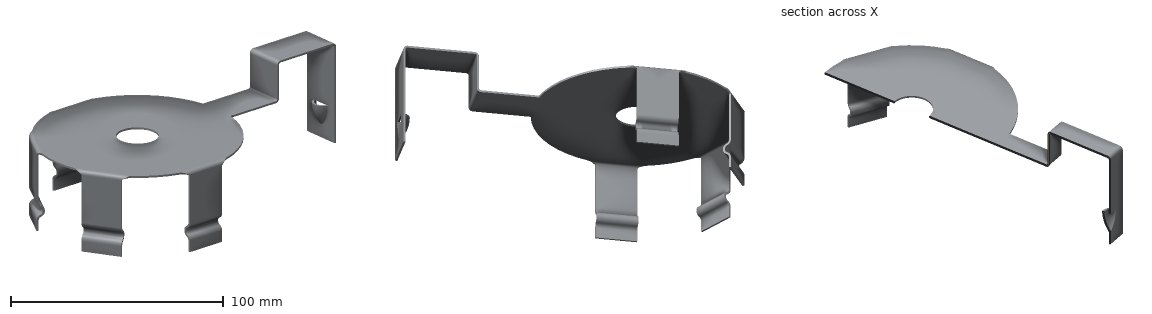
import cadquery as cq
import math

sheet = 1.0
bend_inner = 1.0
bend_outer = bend_inner + sheet

plate_radius = 50.0
hole_diameter = 20.0

leg_angles = (0, 180, 240, 300)
leg_reach = 49.99
leg_width = 20.0
leg_bottom = -41.0
bend_line = leg_reach - bend_outer
bend_line_half = math.sqrt(plate_radius**2 - bend_line**2)
bend_sections = 7

bead_z = -31.0
bead_depth = 3.0
bead_radius = 2.0
bead_blend = 3.0

arm_width = 20.0
arm_end = 114.04
riser_face = 77.84
arm_top = 20.0
flap_bottom = -31.0

dome_top = -13.4
dome_height = 10.6
dome_depth = 3.9
dome_half_width = 5.1
dome_base_fillet = 0.8


def make_plate():
    """Round plate with its centre hole, cut straight along each leg bend line."""
    plate = cq.Workplane("XY").circle(plate_radius).circle(hole_diameter / 2).extrude(-sheet)
    rim = plate_radius - bend_line
    for angle in leg_angles:
        beyond = cq.Workplane("XY").box(2 * rim, 2 * plate_radius, 4 * sheet)
        beyond = beyond.translate((bend_line + rim, 0, 0))
        plate = plate.cut(beyond.rotate((0, 0, 0), (0, 0, 1), angle))
    return plate


def bend_section(turn):
    """Rectangle across the bend after the sheet has turned by the given angle (radians)."""
    half_width = bend_line_half + (leg_width / 2 - bend_line_half) * turn / (math.pi / 2)
    corners = []
    for radius, side in (
        (bend_inner / 2, -1),
        (bend_outer + sheet, -1),
        (bend_outer + sheet, 1),
        (bend_inner / 2, 1),
    ):
        x = bend_line + radius * math.sin(turn)
        z = radius * math.cos(turn) - bend_outer
        corners.append(cq.Vector(x, side * half_width, z))
    return cq.Wire.makePolygon(corners, close=True)


def make_leg_bend():
    """Quarter-round bend that narrows from the plate chord to the leg width."""
    ring = (
        cq.Workplane("XZ", origin=(bend_line, 0, -bend_outer))
        .circle(bend_outer)
        .circle(bend_inner)
        .extrude(bend_line_half, both=True)
    )
    quarter_turn = math.pi / 2
    turns = [quarter_turn * i / (bend_sections - 1) for i in range(bend_sections)]
    taper = cq.Solid.makeLoft([bend_section(turn) for turn in turns])
    return ring.intersect(cq.Workplane(taper))


def bead_path(inset):
    """Points of one leg face through the bead, top to bottom; inset is measured from the outer face."""
    bead = bead_radius + inset
    blend = bead_blend - inset
    spread = bead_radius + bead_blend
    slope = math.acos((spread - bead_depth) / spread)
    face = leg_reach - inset
    start = spread * math.sin(slope)
    join = bead * math.sin(slope)
    join_x = face - blend * (1 - math.cos(slope))
    mid_x = face - blend * (1 - math.cos(slope / 2))
    mid = start - blend * math.sin(slope / 2)
    peak_x = face - bead_depth
    return (
        (face, bead_z + start),
        (mid_x, bead_z + mid),
        (join_x, bead_z + join),
        (peak_x, bead_z),
        (join_x, bead_z - join),
        (mid_x, bead_z - mid),
        (face, bead_z - start),
    )


def make_leg_strip():
    """Straight leg below the bend, with the bead rolled into it."""
    outer = bead_path(0)
    inner = bead_path(sheet)[::-1]
    return (
        cq.Workplane("XZ")
        .moveTo(leg_reach, -bend_outer)
        .lineTo(*outer[0])
        .threePointArc(outer[1], outer[2])
        .threePointArc(outer[3], outer[4])
        .threePointArc(outer[5], outer[6])
        .lineTo(leg_reach, leg_bottom)
        .lineTo(leg_reach - sheet, leg_bottom)
        .lineTo(*inner[0])
        .threePointArc(inner[1], inner[2])
        .threePointArc(inner[3], inner[4])
        .threePointArc(inner[5], inner[6])
        .lineTo(leg_reach - sheet, -bend_outer)
        .close()
        .extrude(leg_width / 2, both=True)
    )


def make_arm():
    """Bent strip from the plate to the hanging flap."""
    root = plate_radius / 2
    points = (
        (root, 0),
        (riser_face, 0),
        (riser_face, arm_top),
        (arm_end, arm_top),
        (arm_end, flap_bottom),
        (arm_end - sheet, flap_bottom),
        (arm_end - sheet, arm_top - sheet),
        (riser_face + sheet, arm_top - sheet),
        (riser_face + sheet, -sheet),
        (root, -sheet),
    )
    strip = cq.Workplane("YZ").polyline(points).close().extrude(arm_width / 2, both=True)
    outer_corners = ((riser_face, arm_top), (arm_end, arm_top), (riser_face + sheet, -sheet))
    inner_corners = (
        (riser_face + sheet, arm_top - sheet),
        (arm_end - sheet, arm_top - sheet),
        (riser_face, 0),
    )
    for corners, radius in ((outer_corners, bend_outer), (inner_corners, bend_inner)):
        for y, z in corners:
            corner = cq.selectors.NearestToPointSelector((0, y, z))
            strip = strip.edges("|X").edges(corner).fillet(radius)
    return strip


def dome_body(inset):
    """Solid of revolution for the dome, shrunk by inset; its axis lies behind the flap's inner face."""
    setback = (dome_half_width**2 - dome_depth**2) / (2 * dome_depth)
    crown = setback + dome_depth
    arc_radius = (dome_height**2 + dome_depth**2) / (2 * dome_depth)
    arc_centre = crown - arc_radius
    radius = arc_radius - inset
    tip = math.sqrt(radius**2 - arc_centre**2)
    half_turn = math.asin(tip / radius) / 2
    mid = (arc_centre + radius * math.cos(half_turn), -radius * math.sin(half_turn))
    return (
        cq.Workplane("XZ")
        .lineTo(crown - inset, 0)
        .threePointArc(mid, (0, -tip))
        .close()
        .revolve(360, (0, 0, 0), (0, 1, 0))
        .translate((0, arm_end - sheet + setback, dome_top))
    )


def make_dome():
    """Dome rounded into a patch of the flap that runs from the dome's open top to the flap's lower end."""
    face_y = arm_end - sheet
    patch_height = dome_top - flap_bottom
    patch = cq.Workplane("XY").box(arm_width, sheet, patch_height)
    patch = patch.translate((0, face_y + sheet / 2, flap_bottom + patch_height / 2))
    behind = cq.Workplane("XY").box(arm_width, arm_width, 2 * arm_width)
    behind = behind.translate((0, arm_end + arm_width / 2, dome_top))
    blister = patch.union(dome_body(0).cut(behind))
    base = cq.selectors.BoxSelector(
        (-dome_half_width, face_y - sheet / 4, dome_top - dome_height - sheet),
        (dome_half_width, face_y + sheet / 4, dome_top - sheet),
    )
    return blister.edges(base).fillet(dome_base_fillet)


arm = make_arm().union(make_dome()).cut(dome_body(sheet))
result = make_plate().union(arm)
leg = make_leg_bend().union(make_leg_strip())
for leg_angle in leg_angles:
    result = result.union(leg.rotate((0, 0, 0), (0, 0, 1), leg_angle))